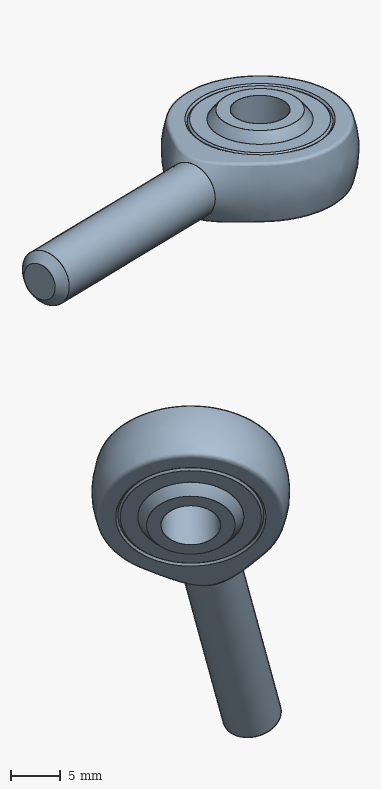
import cadquery as cq
import math

overall_length = 45.95
overall_height = 9.0
head_diameter = 20.0
head_thickness = 6.8
head_edge_fillet = 0.4
shank_diameter = 6.0
shank_tip_chamfer = 1.0
race_diameter = 14.7
seat_chamfer = 0.25
race_chamfer = 0.25
ball_radius = 6.35
bore_diameter = 6.0

head_radius = head_diameter / 2
shank_radius = shank_diameter / 2
half_thickness = head_thickness / 2
race_radius = race_diameter / 2
shank_end_y = head_radius - overall_length
neck_tangent = head_radius / math.sqrt(2)
neck_end_y = shank_radius - 2 * neck_tangent


def make_head_blank():
    """Spherical eye blending into the neck cone, cut flat above and below, with rounded rims."""
    profile = (
        cq.Workplane("XY")
        .moveTo(0, head_radius)
        .threePointArc((head_radius, 0), (neck_tangent, -neck_tangent))
        .lineTo(shank_radius, neck_end_y)
        .lineTo(0, neck_end_y)
        .close()
    )
    blank = profile.revolve(360, (0, 0, 0), (0, 1, 0))
    slab_size = 4 * head_radius
    slab = cq.Workplane("XY").box(slab_size, slab_size, head_thickness)
    return blank.intersect(slab).faces("<Z or >Z").edges().fillet(head_edge_fillet)


def make_shank():
    """Round rod from the neck to its chamfered tip."""
    rod = (
        cq.Workplane("XZ", origin=(0, neck_end_y, 0))
        .circle(shank_radius)
        .extrude(neck_end_y - shank_end_y)
    )
    return rod.faces("<Y").chamfer(shank_tip_chamfer)


def make_housing():
    """Rod end with a through seat for the race, chamfered at both mouths."""
    body = make_head_blank().union(make_shank())
    seat = cq.Workplane("XY").circle(race_radius).extrude(half_thickness, both=True)
    body = body.cut(seat)
    seat_mouths = (
        cq.Workplane("XZ")
        .moveTo(0, half_thickness)
        .lineTo(race_radius + seat_chamfer, half_thickness)
        .lineTo(race_radius, half_thickness - seat_chamfer)
        .lineTo(0, half_thickness - seat_chamfer)
        .close()
        .revolve(360, (0, 0, 0), (0, 1, 0))
    )
    return body.cut(seat_mouths).cut(seat_mouths.mirror("XY"))


def make_race():
    """Ring with a spherical seat for the ball, flush with the head and chamfered outside."""
    ring = cq.Workplane("XY").circle(race_radius).extrude(half_thickness, both=True)
    ring = ring.faces("<Z or >Z").chamfer(race_chamfer)
    return ring.cut(cq.Workplane("XY").sphere(ball_radius))


def make_ball():
    """Sphere cut flat at both ends and bored through."""
    sphere = cq.Workplane("XY").sphere(ball_radius)
    blank = cq.Workplane("XY").circle(ball_radius * 2).extrude(overall_height / 2, both=True)
    bore = cq.Workplane("XY").circle(bore_diameter / 2).extrude(overall_height, both=True)
    return sphere.intersect(blank).cut(bore)


housing = make_housing()
race = make_race()
ball = make_ball()

result = cq.Compound.makeCompound([housing.val(), race.val(), ball.val()])